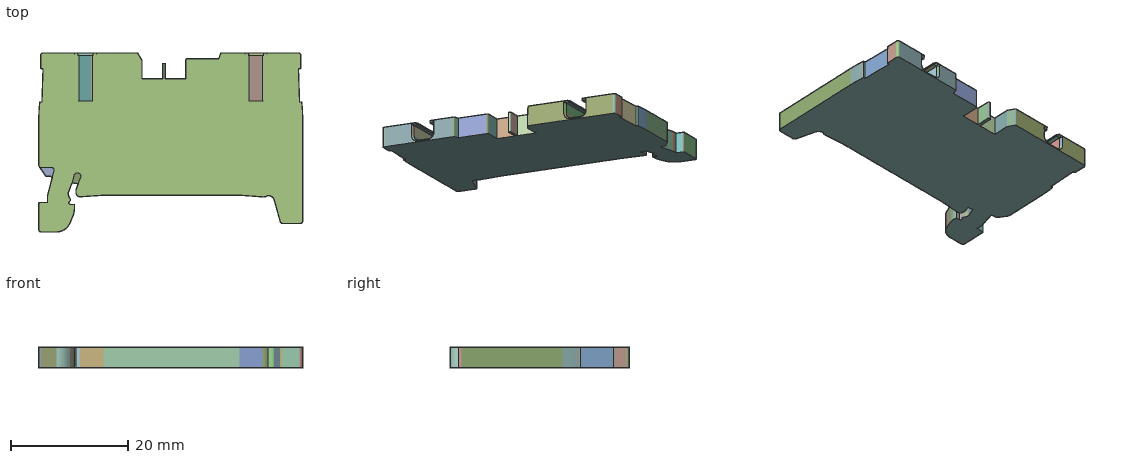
import cadquery as cq
import math

length = 45.0
height = 30.5
thickness = 3.5
centre_x = length / 2

head_inset = 0.3
head_bottom = 27.8
head_round = 0.4
waist_inset = 0.7
waist_bottom_inset = 0.55
shoulder_inset = 0.2
shoulder_y = 22.2
side_taper_y = 20.55
side_taper_round = 25.2
small_round = 0.2

recess_left = 17.65
recess_right = 25.0
recess_floor = 26.15
recess_lead_in_x = 0.75
recess_lead_in_y = 1.3
tongue_left = 21.1
tongue_width = 0.5
tongue_right = tongue_left + tongue_width
tongue_top = 28.75

ledge_y = 29.55
ledge_right = 30.7
ledge_lean = 0.3
ledge_round = 0.35

bottom_y = 6.25
bottom_low_y = 5.95
bottom_flat_left = 11.05
bottom_flat_right = 34.3

foot_y = 1.45
foot_left = 41.2
foot_root_x = 39.9
foot_root_y = 6.15
foot_round = 0.5
foot_root_round = 1.1
notch_left = 38.55
notch_top_x = 39.1
notch_top_y = 6.2
notch_round = 1.35

hook_top = 5.05
hook_right = 6.1
hook_round = 0.45
hook_toe_x = 4.72
hook_toe_round = 2.5
hook_side_y = 3.38
hook_side_round = 3.6
lip_y = 4.72
arm_left = 1.5
arm_bend_y = 6.2
arm_bend_round = 1.8
side_end_y = 11.3
side_end_round = 0.68
gap_top = 11.0
gap_right = 2.75
gap_round = 0.4

slit_right = 6.35
slit_right_bend_y = 7.25
slit_end_right_x = 7.4
slit_end_right_y = 9.9
slit_end_left_x = 6.15
slit_end_left_y = 10.15
slit_neck_x = 5.7
slit_neck_y = 8.35
arm_waist_x = 4.95
arm_waist_y = 6.45
arm_bump_x = 5.5
arm_bump_y = 5.45
nick_x = 5.05
nick_y = 4.95
lip_left = 5.35
slit_corner_round = 0.7
slit_end_round = 0.55
slit_bend_round = 0.9

web_thickness = 0.45
web_bottom = 9.5
web_corner_x = 1.2
web_blend_x = 2.02
web_blend = 0.35
web_overlap = 0.45
side_slope = web_corner_x / (side_end_y - web_bottom)
gap_left = (side_end_y - gap_top) * side_slope
slit_web_right = 6.8
slit_web_bottom = 8.2

slot_left = 6.85
slot_right = 9.15
slot_end = 22.35
slot_overhang = 0.3
slot_floor = 0.45
slot_round = 0.9
slot_floor_inset = 0.2
mouth_depth = 0.45
mouth_flare = 0.25


def toward(start, end, distance):
    """Point at a distance from start on the way to end."""
    scale = distance / math.dist(start, end)
    return (start[0] + (end[0] - start[0]) * scale, start[1] + (end[1] - start[1]) * scale)


def corner_points(before, corner, after, radius):
    """Start, middle and end of the arc that rounds a corner."""
    angle_in = math.atan2(before[1] - corner[1], before[0] - corner[0])
    angle_out = math.atan2(after[1] - corner[1], after[0] - corner[0])
    half_angle = abs(math.remainder(angle_out - angle_in, math.tau)) / 2
    tangent = radius / math.tan(half_angle)
    start = toward(corner, before, tangent)
    end = toward(corner, after, tangent)
    chord_middle = ((start[0] + end[0]) / 2, (start[1] + end[1]) / 2)
    middle = toward(corner, chord_middle, radius / math.sin(half_angle) - radius)
    return start, middle, end


def rounded_prism(corners, depth):
    """Prism on the bottom face from (x, y, corner radius) triples, with 0 for a sharp corner."""
    outline = None
    for i, (x, y, radius) in enumerate(corners):
        before = corners[i - 1][:2]
        after = corners[(i + 1) % len(corners)][:2]
        if radius > 0:
            start, middle, end = corner_points(before, (x, y), after, radius)
        else:
            start, middle, end = (x, y), None, (x, y)
        if outline is None:
            outline = cq.Workplane("XY").moveTo(*start)
        else:
            outline = outline.lineTo(*start)
        if middle:
            outline = outline.threePointArc(middle, end)
    return outline.close().extrude(depth)


left_side = [
    (0, side_taper_y, side_taper_round),
    (shoulder_inset, shoulder_y, 0),
    (waist_bottom_inset, shoulder_y, 0),
    (waist_inset, head_bottom, 0),
    (head_inset, head_bottom, small_round),
    (head_inset, height, head_round),
]

right_side = [(length - x, y, radius) for x, y, radius in reversed(left_side)]

top_edge = [
    (recess_left - recess_lead_in_x, height, small_round),
    (recess_left, height - recess_lead_in_y, small_round),
    (recess_left, recess_floor, 0),
    (tongue_left, recess_floor, 0),
    (tongue_left, tongue_top, small_round),
    (tongue_right, tongue_top, small_round),
    (tongue_right, recess_floor, 0),
    (recess_right, recess_floor, 0),
    (recess_right, ledge_y, ledge_round),
    (ledge_right, ledge_y, 0),
    (ledge_right + ledge_lean, height, small_round),
]

bottom_edge = [
    (length, foot_y, foot_round),
    (foot_left, foot_y, foot_round),
    (foot_root_x, foot_root_y, foot_root_round),
    (notch_top_x, notch_top_y, 0),
    (notch_left, bottom_low_y, notch_round),
    (bottom_flat_right, bottom_y, 0),
    (bottom_flat_left, bottom_y, 0),
    (slit_right, bottom_low_y, slit_corner_round),
]

slit = [
    (slit_right, slit_right_bend_y, slit_bend_round),
    (slit_end_right_x, slit_end_right_y, slit_end_round),
    (slit_end_left_x, slit_end_left_y, slit_end_round),
    (slit_neck_x, slit_neck_y, 0),
    (arm_waist_x, arm_waist_y, slit_bend_round),
    (arm_bump_x, arm_bump_y, small_round),
    (nick_x, nick_y, small_round),
    (lip_left, lip_y, 0),
]

hook = [
    (hook_right, lip_y, 0),
    (hook_right, hook_side_y, hook_side_round),
    (hook_toe_x, 0, hook_toe_round),
    (0, 0, hook_round),
    (0, hook_top, small_round),
    (arm_left, hook_top, 0),
    (arm_left, arm_bend_y, arm_bend_round),
]

gap = [
    (gap_right, gap_top, gap_round),
    (gap_left, gap_top, 0),
    (0, side_end_y, side_end_round),
]

gap_web = [
    (0, side_end_y + web_overlap, 0),
    (0, side_end_y, side_end_round),
    (web_corner_x, web_bottom, small_round),
    (web_blend_x, web_bottom, small_round),
    (web_blend_x + web_blend, web_bottom - web_blend, 0),
    (gap_right + web_overlap, side_end_y + web_overlap, 0),
]
slit_web = [
    (slit_neck_x, slit_neck_y, 0),
    (slit_web_right, slit_web_bottom, 0),
    (slit_end_right_x, slit_end_right_y, 0),
    (slit_end_left_x, slit_end_left_y, 0),
]


def slot_section(y):
    """Section of the marker slot at y: a throat over a wider cavity with a rounded floor."""
    undercut = slot_round - slot_floor_inset
    cavity_left = slot_left - undercut
    cavity_right = slot_right + undercut
    lip_bottom = thickness - slot_overhang
    round_top = slot_floor + slot_round
    above = thickness + 2 * slot_overhang
    return (
        cq.Workplane("XZ", origin=(0, y, 0))
        .moveTo(slot_left, above)
        .lineTo(slot_left, lip_bottom)
        .lineTo(cavity_left, lip_bottom)
        .lineTo(cavity_left, round_top)
        .radiusArc((cavity_left + slot_round, slot_floor), -slot_round)
        .lineTo(cavity_right - slot_round, slot_floor)
        .radiusArc((cavity_right, round_top), -slot_round)
        .lineTo(cavity_right, lip_bottom)
        .lineTo(slot_right, lip_bottom)
        .lineTo(slot_right, above)
        .close()
    )


def marker_slot():
    """Blind slot running in from the top edge, with a flared mouth."""
    mouth_y = height - mouth_depth
    flare_angle = math.degrees(math.atan2(mouth_flare, mouth_depth))
    channel = slot_section(mouth_y).extrude(mouth_y - slot_end)
    mouth = slot_section(mouth_y).extrude(-mouth_depth, taper=-flare_angle)
    return channel.union(mouth)


plate_outline = left_side + top_edge + right_side + bottom_edge + slit + hook + gap
left_slot = marker_slot()
right_slot = left_slot.mirror("YZ", (centre_x, 0, 0))

result = rounded_prism(plate_outline, thickness)
for web in (gap_web, slit_web):
    result = result.union(rounded_prism(web, web_thickness))
result = result.cut(left_slot).cut(right_slot)